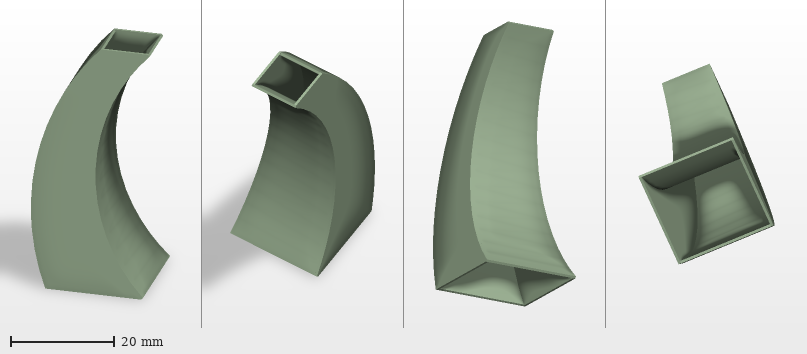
import cadquery as cq
import math

height = 50.05
base_width = 20.0
top_width = 10.0
thickness = 0.5

outer_radius = 47.05
outer_center = (outer_radius, 17.4)
inner_radius = 35.0
inner_center = (47.75, height / 2)


def arc_point(center, radius, angle):
    """Point on the arc, with the angle measured upward from the -X direction."""
    return (center[0] - radius * math.cos(angle), center[1] + radius * math.sin(angle))


def angle_at_height(center, radius, z):
    return math.asin((z - center[1]) / radius)


def arc_points(center, radius, start_angle, end_angle):
    """Start, middle and end points of an arc."""
    middle_angle = (start_angle + end_angle) / 2
    return [arc_point(center, radius, a) for a in (start_angle, middle_angle, end_angle)]


outer_angles = [angle_at_height(outer_center, outer_radius, z) for z in (0, height)]
inner_angles = [angle_at_height(inner_center, inner_radius + thickness, z) for z in (0, height)]


def extrude_across(outline):
    """Extrude a closed XZ outline over the full width, centred on Y = 0."""
    return outline.close().extrude(base_width / 2, both=True)


def make_taper(inset):
    """Tapered block between slanted side planes, moved inward along Y by the inset."""
    base_half = base_width / 2 - inset
    top_half = top_width / 2 - inset
    outline = [(-base_half, 0), (base_half, 0), (top_half, height), (-top_half, height)]
    return cq.Workplane("YZ").polyline(outline).close().extrude(height)


def make_sheet(center, radius, angles):
    """Curved sheet lying between the side panels, from the radius outward by the thickness."""
    near_start, near_middle, near_end = arc_points(center, radius, *angles)
    far_start, far_middle, far_end = arc_points(center, radius + thickness, *angles)
    strip = extrude_across(
        cq.Workplane("XZ")
        .moveTo(*near_start)
        .threePointArc(near_middle, near_end)
        .lineTo(*far_end)
        .threePointArc(far_middle, far_start)
    )
    return strip.intersect(make_taper(thickness)).solids()


def make_side_panels():
    """The two side panels, flush with the exposed faces and ends of the sheets."""
    outer_bottom, outer_middle, outer_top = arc_points(outer_center, outer_radius, *outer_angles)
    tip_bottom, inner_middle, tip_top = arc_points(inner_center, inner_radius, *inner_angles)
    corner_bottom, _, corner_top = arc_points(inner_center, inner_radius + thickness, *inner_angles)
    profile = extrude_across(
        cq.Workplane("XZ")
        .moveTo(*outer_bottom)
        .threePointArc(outer_middle, outer_top)
        .lineTo(*corner_top)
        .lineTo(*tip_top)
        .threePointArc(inner_middle, tip_bottom)
        .lineTo(*corner_bottom)
    )
    return profile.intersect(make_taper(0)).cut(make_taper(thickness)).solids()


side_panels = make_side_panels()
outer_sheet = make_sheet(outer_center, outer_radius - thickness, outer_angles)
inner_sheet = make_sheet(inner_center, inner_radius, inner_angles)


result = cq.Compound.makeCompound([*side_panels.vals(), outer_sheet.val(), inner_sheet.val()])